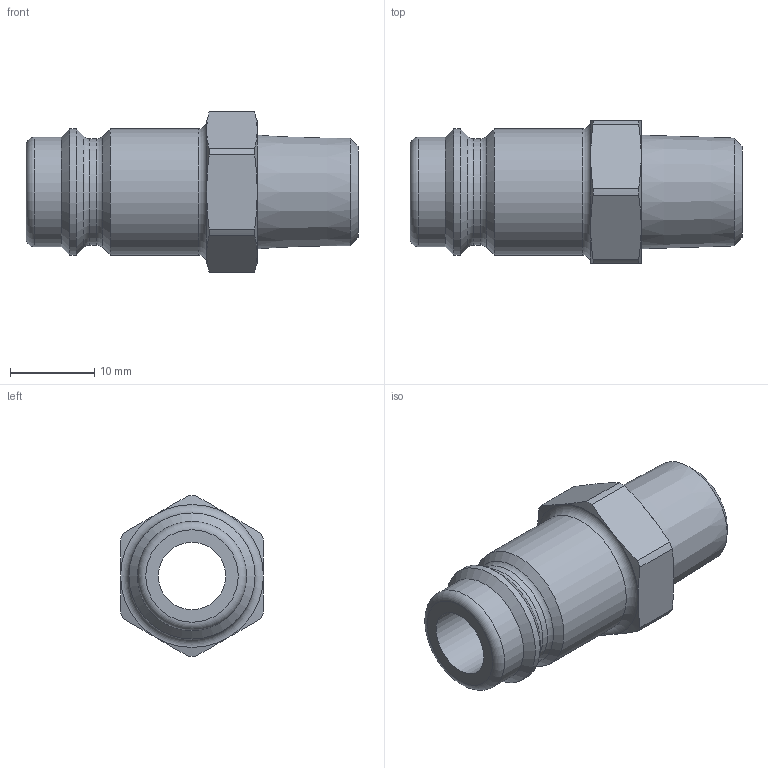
import math

import cadquery as cq


total_length = 39.5
collar_start = 4.2
groove_start = 6.0
groove_end = 10.0
hex_start = 21.5
hex_width = 6.0
hex_end = hex_start + hex_width

bore_radius = 8.0 / 2
nose_radius = 13.0 / 2
groove_radius = 12.65 / 2
body_radius = 15.0 / 2

nose_fillet = 1.0
groove_fillet = 1.0
shoulder_fillet = 1.0
end_chamfer = 0.95

across_flats = 17.0
corner_diameter = 19.15
hex_chamfer_angle = math.radians(15)

thread_large_radius = 6.76
taper_slope = 1 / 32

cos_45 = math.cos(math.pi / 4)
sin_22 = math.sin(math.pi / 8)
cos_22 = math.cos(math.pi / 8)


def make_turned_body():
    """Revolve the outer profile, drawn as (x, radius), about the X axis."""
    collar_crest = collar_start + (body_radius - nose_radius)

    fillet_top = groove_radius + groove_fillet * (1 - cos_45)
    fillet_mid = groove_radius + groove_fillet * (1 - cos_22)
    flank_run = body_radius - fillet_top
    fillet_run = groove_fillet * cos_45
    fillet_mid_run = groove_fillet * sin_22
    left_flank_end = groove_start + flank_run
    right_flank_start = groove_end - flank_run
    floor_start = left_flank_end + fillet_run
    floor_end = right_flank_start - fillet_run

    nose_arc_inset = nose_fillet * (1 - cos_45)
    shoulder_start = hex_start - shoulder_fillet
    shoulder_radius = body_radius + shoulder_fillet
    shoulder_mid = (
        shoulder_start + shoulder_fillet * cos_45,
        shoulder_radius - shoulder_fillet * cos_45,
    )

    thread_end = total_length - end_chamfer
    thread_small_radius = thread_large_radius - (thread_end - hex_end) * taper_slope

    profile = (
        cq.Workplane("XY")
        .moveTo(0, 0)
        .lineTo(0, nose_radius - nose_fillet)
        .threePointArc((nose_arc_inset, nose_radius - nose_arc_inset), (nose_fillet, nose_radius))
        .lineTo(collar_start, nose_radius)
        .lineTo(collar_crest, body_radius)
        .lineTo(groove_start, body_radius)
        .lineTo(left_flank_end, fillet_top)
        .threePointArc((floor_start - fillet_mid_run, fillet_mid), (floor_start, groove_radius))
        .lineTo(floor_end, groove_radius)
        .threePointArc((floor_end + fillet_mid_run, fillet_mid), (right_flank_start, fillet_top))
        .lineTo(groove_end, body_radius)
        .lineTo(shoulder_start, body_radius)
        .threePointArc(shoulder_mid, (hex_start, shoulder_radius))
        .lineTo(hex_end, shoulder_radius)
        .lineTo(hex_end, thread_large_radius)
        .lineTo(thread_end, thread_small_radius)
        .lineTo(total_length, thread_small_radius - end_chamfer)
        .lineTo(total_length, 0)
        .close()
    )
    return profile.revolve(360, (0, 0, 0), (1, 0, 0))


def make_hexagon():
    """Hexagon with corners on +Z and -Z, turned down at the corners and coned on both faces."""
    flat_radius = across_flats / 2
    sharp_diameter = across_flats / math.cos(math.pi / 6)
    prism = (
        cq.Workplane("YZ", origin=(hex_start, 0, 0))
        .transformed(rotate=(0, 0, 90))
        .polygon(6, sharp_diameter)
        .extrude(hex_width)
    )

    corner_radius = corner_diameter / 2
    cone_depth = (corner_radius - flat_radius) * math.tan(hex_chamfer_angle)
    envelope = (
        cq.Workplane("XY")
        .moveTo(hex_start, 0)
        .lineTo(hex_start, flat_radius)
        .lineTo(hex_start + cone_depth, corner_radius)
        .lineTo(hex_end - cone_depth, corner_radius)
        .lineTo(hex_end, flat_radius)
        .lineTo(hex_end, 0)
        .close()
        .revolve(360, (0, 0, 0), (1, 0, 0))
    )
    return prism.intersect(envelope)


def make_bore():
    """Straight bore through the whole length."""
    return cq.Workplane("YZ").circle(bore_radius).extrude(total_length)


result = make_turned_body().union(make_hexagon()).cut(make_bore())